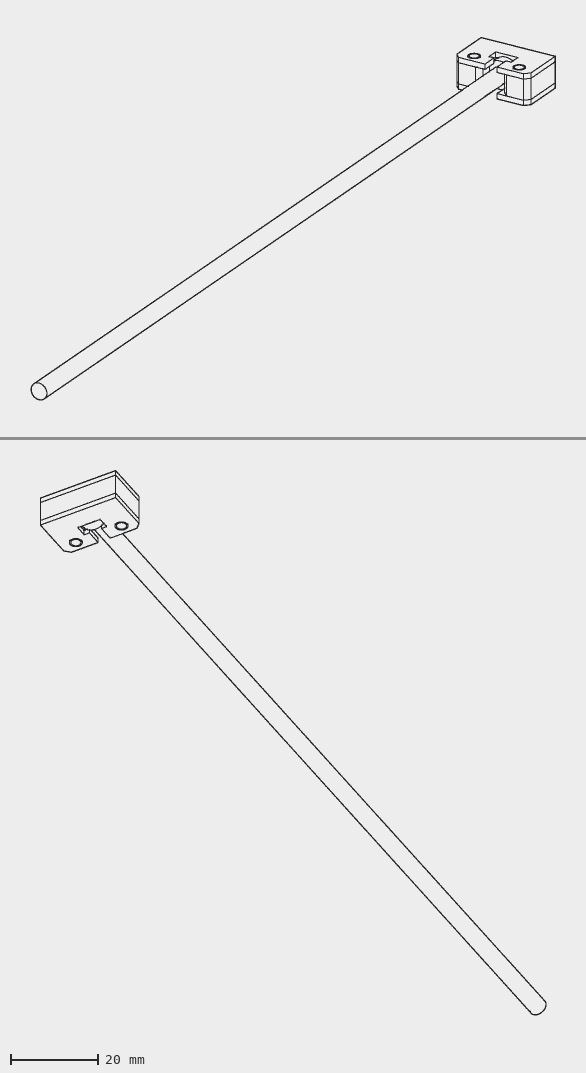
import cadquery as cq

total_length = 212.0
block_width = 20.0
block_depth = 12.0
block_height = 8.0

plate_thickness = 1.35
middle_height = block_height - 2 * plate_thickness
corner_chamfer = 1.3

rod_radius = 2.1
head_radius = 3.5
head_length = 2.5
head_front = 4.0

plate_slot_width = 3.2
plate_pocket_width = 6.0
middle_slot_width = 5.7
pocket_front = head_front
plate_pocket_depth = 3.0
middle_pocket_width = 2 * head_radius
middle_pocket_depth = head_length

pin_radius = 1.17
pin_hole_radius = 1.5
pin_spacing = 12.0
pin_setback = 2.5
pin_places = [(-pin_spacing / 2, pin_setback), (pin_spacing / 2, pin_setback)]

rod_front = block_depth - total_length


def layer(height, bottom, slot_width, pocket_width, pocket_depth):
    """Flat layer with chamfered front corners, a T-shaped slot and two pin holes."""
    body = (
        cq.Workplane("XY")
        .box(block_width, block_depth, height, centered=(True, False, False))
        .edges("|Z and <Y")
        .chamfer(corner_chamfer)
    )
    slot = cq.Workplane("XY").box(slot_width, pocket_front, height, centered=(True, False, False))
    pocket = (
        cq.Workplane("XY")
        .box(pocket_width, pocket_depth, height, centered=(True, False, False))
        .translate((0, pocket_front, 0))
    )
    holes = cq.Workplane("XY").pushPoints(pin_places).circle(pin_hole_radius).extrude(height)
    return body.cut(slot).cut(pocket).cut(holes).translate((0, 0, bottom))


def plate(bottom):
    """Outer plate, with a slot narrower than the rod."""
    return layer(plate_thickness, bottom, plate_slot_width, plate_pocket_width, plate_pocket_depth)


def middle():
    """Middle layer, with chamfered edges where its slot opens to the front."""
    body = layer(
        middle_height, -middle_height / 2, middle_slot_width, middle_pocket_width, middle_pocket_depth
    )
    mouth_edges = cq.selectors.BoxSelector(
        (-middle_slot_width, -corner_chamfer / 2, -middle_height),
        (middle_slot_width, corner_chamfer / 2, middle_height),
    )
    return body.edges("|Z").edges(mouth_edges).chamfer(corner_chamfer)


def headed_rod():
    """Long round rod with a larger round head at its back end."""
    rod = (
        cq.Workplane("XZ", origin=(0, head_front, 0))
        .circle(rod_radius)
        .extrude(head_front - rod_front)
    )
    head = cq.Workplane("XZ", origin=(0, head_front, 0)).circle(head_radius).extrude(-head_length)
    return rod.union(head)


def pin(place):
    """Round pin through all three layers, flush with both outer faces."""
    return (
        cq.Workplane("XY", origin=(0, 0, -block_height / 2))
        .center(*place)
        .circle(pin_radius)
        .extrude(block_height)
    )


bottom_plate = plate(-block_height / 2)
middle_layer = middle()
top_plate = plate(middle_height / 2)
rod = headed_rod()
pins = [pin(place) for place in pin_places]

result = cq.Compound.makeCompound(
    [
        bottom_plate.val(),
        middle_layer.val(),
        top_plate.val(),
        rod.val(),
        *[each_pin.val() for each_pin in pins],
    ]
)